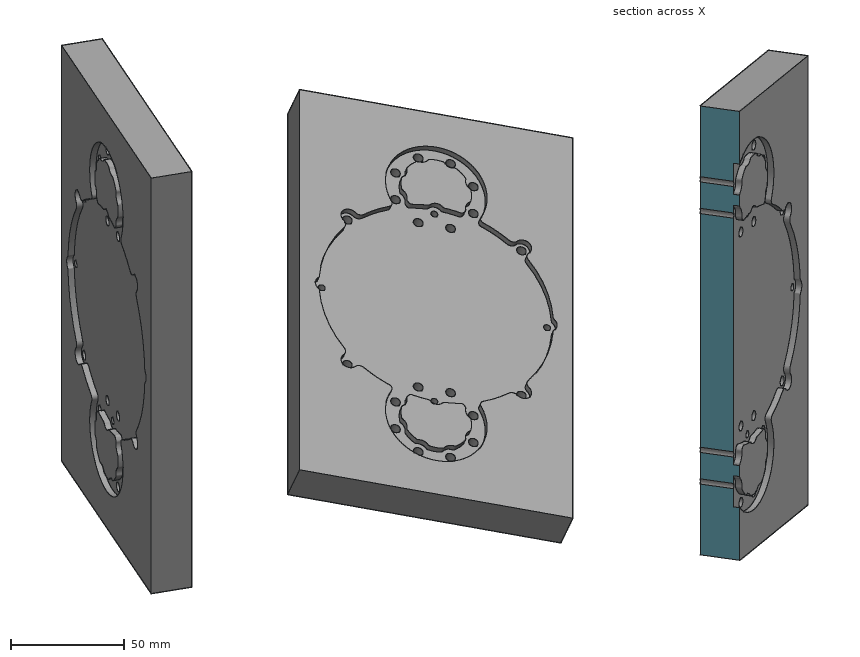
import cadquery as cq
import math

PLATE_WIDTH = 126.0
PLATE_THICKNESS = 19.0
PLATE_HEIGHT = 211.1

POCKET_DEPTH = 3.0
MAIN_RADIUS = 54.0
LOBE_RADIUS = 23.5
LOBE_OFFSET = 63.5
EAR_RADIUS = 3.8
LOBE_FILLET = 2.1
CORNER_EAR_FILLET = 3.0
SIDE_EAR_FILLET = 0.8

ISLAND_RADIUS = 16.3
BOLT_RELIEF_RADIUS = 4.5
ISLAND_FILLET = 1.5

HOLE_DIAMETER = 4.5
BOLT_CIRCLE_RADIUS = 19.5
BOLT_COUNT = 8
CORNER_HOLE_OFFSET = 40.1

PIN_OFFSET = 52.0
PIN_RADIUS = 1.58
PIN_DEPTH = 4.2
PIN_POINT_HEIGHT = 0.95

SIDES = (-1, 1)
LOBE_CENTERS = [(0, side * LOBE_OFFSET) for side in SIDES]
LOBE_PINS = [(0, side * PIN_OFFSET) for side in SIDES]
SIDE_PINS = [(side * PIN_OFFSET, 0) for side in SIDES]
CORNER_HOLES = [(sx * CORNER_HOLE_OFFSET, sz * CORNER_HOLE_OFFSET) for sx in SIDES for sz in SIDES]


def discs(points, radius, depth):
    """Cylinders reaching from the machined face to the given depth, at (x, z) points."""
    return cq.Workplane("XZ").pushPoints(points).circle(radius).extrude(-depth)


def bolt_points(lobe_center):
    """Bolt circle positions in a lobe, straddling its centre lines."""
    x, z = lobe_center
    angles = [2 * math.pi * (i + 0.5) / BOLT_COUNT for i in range(BOLT_COUNT)]
    return [(x + BOLT_CIRCLE_RADIUS * math.cos(a), z + BOLT_CIRCLE_RADIUS * math.sin(a)) for a in angles]


def fillet_around(body, point, reach, radius):
    """Round the depth-wise edges lying within a square of half-width reach about a point."""
    x, z = point
    low_corner = (x - reach, 0, z - reach)
    high_corner = (x + reach, POCKET_DEPTH, z + reach)
    box = cq.selectors.BoxSelector(low_corner, high_corner)
    return body.edges("|Y").edges(box).fillet(radius)


def make_pocket():
    """Pocket volume before the islands are taken out of it."""
    main_disc = discs([(0, 0)], MAIN_RADIUS, POCKET_DEPTH)
    lobes = discs(LOBE_CENTERS, LOBE_RADIUS, POCKET_DEPTH)
    ears = discs(CORNER_HOLES + SIDE_PINS, EAR_RADIUS, POCKET_DEPTH)
    pocket = main_disc.union(lobes).union(ears)
    for center in LOBE_CENTERS:
        pocket = fillet_around(pocket, center, LOBE_RADIUS, LOBE_FILLET)
    for point in CORNER_HOLES:
        pocket = fillet_around(pocket, point, 2 * EAR_RADIUS, CORNER_EAR_FILLET)
    for point in SIDE_PINS:
        pocket = fillet_around(pocket, point, 2 * EAR_RADIUS, SIDE_EAR_FILLET)
    return pocket


def make_island(lobe_center, lobe_pin):
    """Full-height island in a lobe, clear of the main disc, the pin hole and the bolt holes."""
    island = discs([lobe_center], ISLAND_RADIUS, POCKET_DEPTH)
    island = island.cut(discs([(0, 0)], MAIN_RADIUS, POCKET_DEPTH))
    island = island.cut(discs([lobe_pin], EAR_RADIUS, POCKET_DEPTH))
    island = island.cut(discs(bolt_points(lobe_center), BOLT_RELIEF_RADIUS, POCKET_DEPTH))
    return island.edges("|Y").fillet(ISLAND_FILLET)


def make_pin_hole(point):
    """Drilled blind hole with a conical point."""
    x, z = point
    shoulder = POCKET_DEPTH + PIN_DEPTH
    profile = [(0, 0), (PIN_RADIUS, 0), (PIN_RADIUS, shoulder), (0, shoulder + PIN_POINT_HEIGHT)]
    return cq.Workplane("XY").polyline(profile).close().revolve(360, (0, 0), (0, 1)).translate((x, 0, z))


plate = cq.Workplane("XY").box(PLATE_WIDTH, PLATE_THICKNESS, PLATE_HEIGHT, centered=(True, False, True))

pocket = make_pocket()
for center, pin in zip(LOBE_CENTERS, LOBE_PINS):
    pocket = pocket.cut(make_island(center, pin))

through_points = CORNER_HOLES + [p for center in LOBE_CENTERS for p in bolt_points(center)]
through_holes = discs(through_points, HOLE_DIAMETER / 2, PLATE_THICKNESS)

result = plate.cut(pocket).cut(through_holes)
for point in SIDE_PINS + LOBE_PINS:
    result = result.cut(make_pin_hole(point))